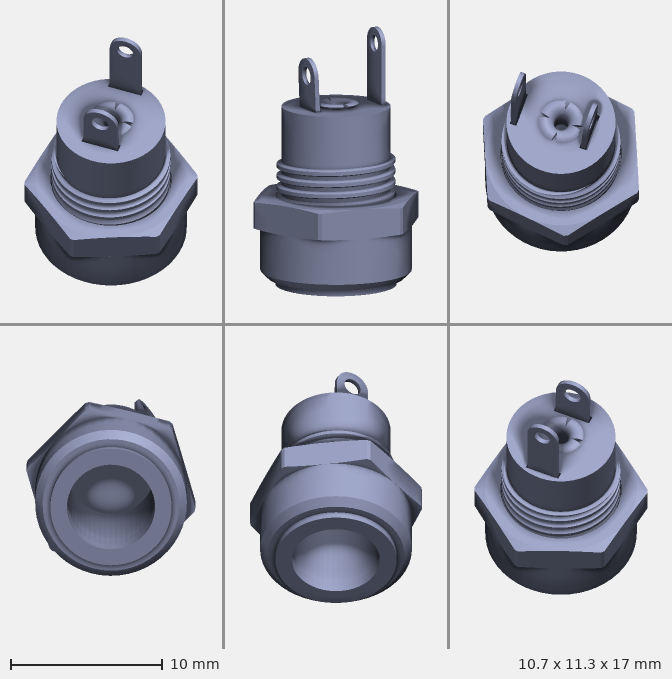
import cadquery as cq
import math

lip_height = 0.5
flange_bevel = 0.5
flange_top = 4.0
thread_top = 8.5
body_top = 12.0
tall_tag_top = 17.01

lip_diameter = 8.0
flange_diameter = 10.0
body_diameter = 7.2
socket_diameter = 5.8

thread_diameter = 7.82
thread_pitch = 0.75
thread_land = 0.25
thread_angle = 106.0
thread_embed = 0.043

tag_thickness = 0.3
slot_depth = 1.0
tall_tag_width = 2.15
tall_tag_y = 2.98
tall_tag_hole = 1.1
tall_slot_width = 2.33
tall_slot_thickness = 0.46
tall_slot_y = 2.95
short_tag_top = 15.4
short_tag_width = 2.35
short_tag_y = -1.94
short_tag_hole = 1.2
short_tag_tilt = 2.4
short_slot_width = 2.55
short_slot_thickness = 0.55
short_slot_y = -1.999

eyelet_diameter = 3.0
eyelet_foot_diameter = 2.59
eyelet_height = 0.3
eyelet_hole = 0.9
flare_radius = 0.68
eyelet_hole_depth = 1.53
drill_point_angle = 118.0
notch_width = 0.34
notch_inner_radius = 0.75
notch_count = 4

nut_width = 10.0
nut_corner_diameter = 11.4
nut_thickness = 2.0
nut_bore = 8.0
nut_flat_angle = -7.8
nut_corner_drop = 0.12


def cylinder(diameter, bottom, top):
    return cq.Workplane("XY").workplane(offset=bottom).circle(diameter / 2).extrude(top - bottom)


def thread_rib():
    """Helical trapezoid rooted just inside the barrel, cut flat at both ends."""
    crest = thread_diameter / 2
    root = body_diameter / 2
    inside = root - thread_embed
    half_crest = thread_land / 2
    flank_height = thread_pitch / 2 - thread_land
    half_base = half_crest + flank_height * (crest - inside) / (crest - root)
    turns = math.ceil((thread_top - flange_top) / thread_pitch) + 2
    helix = cq.Wire.makeHelix(thread_pitch, turns * thread_pitch, root)
    profile = [(inside, -half_base), (crest, -half_crest), (crest, half_crest), (inside, half_base)]
    rib = cq.Workplane("XZ").polyline(profile).close().sweep(cq.Workplane(helix), isFrenet=True)
    rib = rib.rotate((0, 0, 0), (0, 0, 1), thread_angle).translate((0, 0, flange_top - thread_pitch))
    return rib.intersect(cylinder(flange_diameter, flange_top, thread_top))


def turned_body():
    lip = cylinder(lip_diameter, 0, lip_height)
    flange = cylinder(flange_diameter, lip_height, flange_top).faces("<Z").chamfer(flange_bevel)
    barrel = cylinder(body_diameter, lip_height, body_top)
    return barrel.union(thread_rib()).union(flange).union(lip)


def plug_socket():
    return cylinder(socket_diameter, 0, thread_top)


def solder_tag(width, thickness, bottom, top, hole):
    """Upright strip with a fully rounded, drilled end, centred on the Z axis."""
    eye_height = top - width / 2
    strip = (
        cq.Workplane("XZ")
        .moveTo(-width / 2, bottom)
        .lineTo(width / 2, bottom)
        .lineTo(width / 2, eye_height)
        .threePointArc((0, top), (-width / 2, eye_height))
        .close()
        .extrude(thickness / 2, both=True)
    )
    eye = cq.Workplane("XZ").center(0, eye_height).circle(hole / 2).extrude(thickness, both=True)
    return strip.cut(eye)


def tall_tag():
    root = body_top - slot_depth
    tag = solder_tag(tall_tag_width, tag_thickness, root, tall_tag_top, tall_tag_hole)
    return tag.translate((0, tall_tag_y, 0))


def short_tag():
    root = body_top - slot_depth - tag_thickness
    tag = solder_tag(short_tag_width, tag_thickness, root, short_tag_top, short_tag_hole)
    tilted = tag.rotate((0, 0, body_top), (1, 0, body_top), short_tag_tilt)
    return tilted.translate((0, short_tag_y, 0))


def tag_slot(width, thickness, y):
    return cq.Workplane("XY").workplane(offset=body_top).center(0, y).rect(width, thickness).extrude(-slot_depth)


def eyelet_flare():
    """Solid of revolution: trumpet-shaped mouth curling outwards to a thin rim."""
    hole_radius = eyelet_hole / 2
    rim_radius = eyelet_diameter / 2
    crest_radius = hole_radius + flare_radius
    throat = body_top + eyelet_height - flare_radius
    rim_height = throat + math.sqrt(flare_radius**2 - (rim_radius - crest_radius) ** 2)
    lip = (
        cq.Workplane("XZ")
        .moveTo(hole_radius, throat)
        .threePointArc((crest_radius, body_top + eyelet_height), (rim_radius, rim_height))
        .lineTo(eyelet_foot_diameter / 2, body_top)
        .lineTo(eyelet_foot_diameter / 2, throat)
        .close()
        .revolve(360, (0, 0, 0), (0, 1, 0))
    )
    for index in range(notch_count):
        notch = (
            cq.Workplane("XY")
            .workplane(offset=body_top)
            .moveTo(notch_inner_radius, 0)
            .lineTo(rim_radius, notch_width / 2)
            .lineTo(rim_radius, -notch_width / 2)
            .close()
            .extrude(eyelet_height)
        )
        lip = lip.cut(notch.rotate((0, 0, 0), (0, 0, 1), index * 360 / notch_count))
    return lip


def eyelet_bore():
    """Clears the foot of the eyelet down to its throat, then a blind hole with a drill point."""
    hole_radius = eyelet_hole / 2
    throat = body_top + eyelet_height - flare_radius
    hole_bottom = body_top - eyelet_hole_depth
    point_depth = hole_radius / math.tan(math.radians(drill_point_angle / 2))
    foot = cylinder(eyelet_foot_diameter, throat, body_top)
    hole = (
        cq.Workplane("XZ")
        .moveTo(0, throat)
        .lineTo(hole_radius, throat)
        .lineTo(hole_radius, hole_bottom)
        .lineTo(0, hole_bottom - point_depth)
        .close()
        .revolve(360, (0, 0, 0), (0, 1, 0))
    )
    return foot.union(hole)


def make_jack():
    body = turned_body().cut(plug_socket())
    body = body.cut(tag_slot(tall_slot_width, tall_slot_thickness, tall_slot_y))
    body = body.cut(tag_slot(short_slot_width, short_slot_thickness, short_slot_y))
    body = body.union(tall_tag()).union(short_tag())
    return body.cut(eyelet_bore()).union(eyelet_flare())


def make_nut():
    nut_top = flange_top + nut_thickness
    corner_radius = nut_corner_diameter / 2
    hexagon = (
        cq.Workplane("XY")
        .workplane(offset=flange_top)
        .polygon(6, nut_width, circumscribed=True)
        .extrude(nut_thickness)
        .rotate((0, 0, 0), (0, 0, 1), nut_flat_angle)
    )
    blank = (
        cq.Workplane("XZ")
        .moveTo(0, flange_top)
        .lineTo(nut_width / 2, flange_top)
        .lineTo(corner_radius, flange_top + nut_corner_drop)
        .lineTo(corner_radius, nut_top - nut_corner_drop)
        .lineTo(nut_width / 2, nut_top)
        .lineTo(0, nut_top)
        .close()
        .revolve(360, (0, 0, 0), (0, 1, 0))
    )
    return hexagon.intersect(blank).cut(cylinder(nut_bore, flange_top, nut_top))


jack = make_jack()
nut = make_nut()

result = cq.Compound.makeCompound([jack.val(), nut.val()])